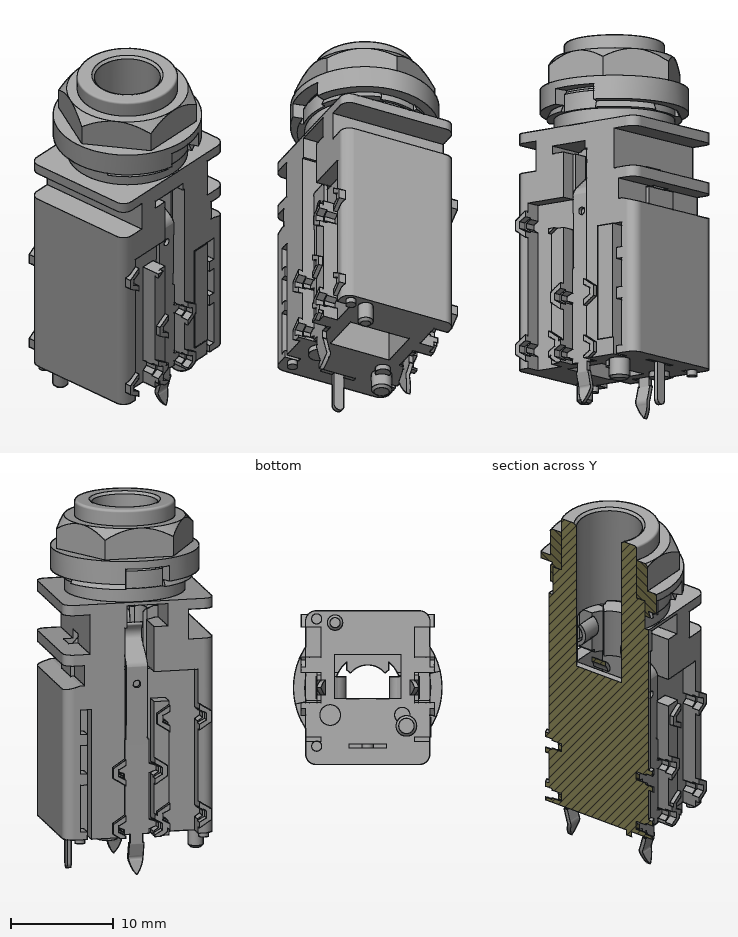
import cadquery as cq
import math


TOP_Z = 36.6
NUT_TOP_Z = 35.03
FLANGE_TOP_Z = 32.02
FLANGE_BOTTOM_Z = 29.72
TEETH_BOTTOM_Z = 29.05
BODY_TOP_Z = 27.67
BODY_BOTTOM_Z = 4.17

BODY_X = 12.1
BODY_Y = 15.0
HALF_X = BODY_X / 2
HALF_Y = BODY_Y / 2
CORNER_R = 1.02
TOP_PLATE_T = 1.02
NECK_Y = 4.95
FRONT_BLOCK_TOP_Z = 23.68
BACK_LIP_TOP_Z = 22.7
BACK_LIP_BOTTOM_Z = 21.6
BACK_SLOPE_Z = 19.58
BACK_SLOPE_DROP = 0.45

BUSHING_D = 9.8
COLLAR_D = 11.8
COLLAR_TOP_Z = 30.8
BORE_D = 6.45
BORE_R = BORE_D / 2
BORE_BOTTOM_Z = 20.6
RIM_CHAMFER = 0.25
SHELF_Y = 1.05

HEX_FLATS = 11.85
HEX_CORNERS = HEX_FLATS / math.cos(math.radians(30))
HEX_CHAMFER_DROP = 1.02
FLANGE_D = 14.5
TEETH_TOP_D = 12.55
TEETH_BOTTOM_D = 13.18
SLEEVE_R = 6.15
GAP_ANGLE = 36.0
GAP_START_ANGLE = -12.8
NOTCH_TOP_Z = 31.25

SHEET_T = 0.4
SIDE_INNER_X = 4.55
SIDE_MID_X = SIDE_INNER_X + SHEET_T / 2
UPPER_LEAN = 0.1
BEND_Z = 13.1
SPRING_HALF_W = 1.05
CONTACT_HALF_W = 1.25
SHOULDER_Z = 13.75
SPRING_ROOT_Z = 20.9
SPRING_BEND_MID = (4.7, 21.25)
SPRING_BEND_END = (4.4, 21.55)
SPRING_NOSE_START = (2.95, 22.7)
SPRING_NOSE_TIP = (2.3, 23.68)
SPRING_NOSE_END = (2.75, 24.67)
PIN_CREST_Z = 1.7
PIN_CREST_HALF = 0.3
PIN_FLANK_INSET = 0.33
PIN_BEND_Z = 3.2
PIN_HALF_W = 0.62
PIN_WIDE_HALF_W = 0.75
PIN_WIDE_TOP_Z = 3.3
PIN_TAPER_Z = 1.75
PIN_TIP_Z = 0.1
PIN_TIP_SIDE = (0.48, 0.85)
DIMPLE_D = 0.75
DIMPLE_Z = 19.2
BARB_TIP_Y = 1.95
BARB_BASE_HALF = 0.48
BARB_TIP_HALF = 0.22

SLOT_HALF_W = 1.45
SLOT_TOP_Z = 25.1
SLOT_FLOOR_TOP_Z = BORE_BOTTOM_Z
PASSAGE_BOTTOM_Z = 20.85
POCKET_NEAR_Y = -2.95
POCKET_FAR_Y = -5.9
LAND_TOP_Z = 17.6
WINDOW_BACK_Y = 1.25
WINDOW_FRONT_Y = -2.85
WINDOW_TOP_Z = 27.35
FAR_WINDOW_TOP_Z = 25.88

BOSS_OUT = 0.45
BOSS_ROOT = 0.35
BOSS_REACH = 1.25
BOSS_BASE_HALF = 1.3
BOSS_TIP_HALF = 0.5
LATCH_REACH = 0.75
LATCH_BASE_HALF = 0.75
LATCH_TIP_HALF = 0.33
LATCH_INNER_REACH = 0.5
LATCH_INNER_BASE_HALF = 0.6
LATCH_INNER_TIP_HALF = 0.25
CONTACT_LATCH_Z = (10.72, 5.12)
LEFT_POCKET_LATCH_Z = (15.92, 6.1)
RIGHT_POCKET_LATCH_Z = (18.45, 6.1)

BACK_INNER_Y = 5.5
BACK_OUTER_Y = BACK_INNER_Y + SHEET_T
BACK_MID_Y = BACK_INNER_Y + SHEET_T / 2
BACK_PLATE_HALF_W = 1.83
BACK_SPRING_HALF_W = 0.85
BACK_SPRING_ROOT_Z = 21.2
BACK_SPRING_CREST = (3.85, 23.25)
BACK_NOSE_START = (1.9, 22.15)
BACK_NOSE_MID = (1.45, 21.75)
BACK_NOSE_END = (1.25, 21.2)
BACK_PIN_HALF_W = 0.55
BACK_CHANNEL_TOP_Z = 23.6
BACK_CHANNEL_HALF_W = 1.05
BACK_PLATE_TOP_Z = 21.4
GROOVE_INNER_Y = 4.83
GROOVE_TOP_Z = 17.15
RIB_INNER_Y = 5.25
RIB_SPANS = ((13.6, 14.7), (9.63, 10.75), (BODY_BOTTOM_Z, 4.95))

ARC_INNER_R = 2.2
ARC_HALF_ANGLE = 50.0
ARC_HALF_W = 2.05
ARC_LIP_BEVEL = 0.25
ARC_FUNNEL_R = 3.1
ARC_FUNNEL_RISE = 0.35

SIDE_RIB_T = 0.1
SIDE_RIB_Y = (2.93, 5.12)
SIDE_RIB_Z = (5.85, 17.15)

PEG_BOTTOM_Z = 2.2
PAD_BOTTOM_Z = 3.62
PEGS = ((3.77, 3.75, 2.0), (-3.2, -6.35, 1.5))
PADS = ((-3.65, 2.67, 2.0), (3.35, 2.67, 1.5), (-4.98, 5.7, 1.0), (-4.98, -6.7, 1.0))

PAST = 0.35


def mirror(point, side):
    """(x, z) point on the right carried to the left when side is -1."""
    x, z = point
    return side * x, z


def box(x_span, y_span, z_span):
    """Box between two limits on each axis, given in either order."""
    spans = [sorted(span) for span in (x_span, y_span, z_span)]
    size = [high - low for low, high in spans]
    return cq.Workplane("XY").box(*size, centered=False).translate([low for low, _ in spans])


def cylinder(diameter, bottom_z, top_z, x=0.0, y=0.0):
    return cq.Workplane("XY", origin=(x, y, bottom_z)).circle(diameter / 2).extrude(top_z - bottom_z)


def prism_along_x(points, x_span):
    """Extrude a closed (y, z) outline between two X values."""
    low, high = sorted(x_span)
    return cq.Workplane("YZ", origin=(low, 0, 0)).polyline(points).close().extrude(high - low)


def sheet_profile(centre_line, half_width):
    """Bent strip: a centre line thickened to SHEET_T, extruded both ways by half_width."""
    return centre_line.offset2D(SHEET_T / 2, "arc").extrude(half_width, both=True)


def trapezoid(base_y, direction, centre_z, reach, base_half, tip_half):
    """(y, z) outline narrowing away from base_y in the given Y direction."""
    tip_y = base_y + direction * reach
    return [
        (base_y, centre_z - base_half),
        (tip_y, centre_z - tip_half),
        (tip_y, centre_z + tip_half),
        (base_y, centre_z + base_half),
    ]


def latch_places(side):
    """Base y, direction and centre z of every latch on one side."""
    contact = [(way * SLOT_HALF_W, way, z) for z in CONTACT_LATCH_Z for way in (1, -1)]
    heights = LEFT_POCKET_LATCH_Z if side < 0 else RIGHT_POCKET_LATCH_Z
    near = [(POCKET_NEAR_Y, 1, z) for z in heights]
    far = [(POCKET_FAR_Y, -1, z) for z in heights]
    return contact + near + far



def housing_block():
    """Rounded block with the neck, the back lip and the sloped shoulder cut out."""
    height = BODY_TOP_Z - BODY_BOTTOM_Z
    block = cq.Workplane("XY", origin=(0, 0, BODY_BOTTOM_Z)).rect(BODY_X, BODY_Y).extrude(height)
    block = block.edges("|Z").fillet(CORNER_R)
    plate_bottom_z = BODY_TOP_Z - TOP_PLATE_T
    across = (-HALF_X - PAST, HALF_X + PAST)
    block = block.cut(box(across, (-HALF_Y - PAST, -NECK_Y), (FRONT_BLOCK_TOP_Z, plate_bottom_z)))
    block = block.cut(box(across, (NECK_Y, HALF_Y + PAST), (BACK_LIP_TOP_Z, plate_bottom_z)))
    slope_cut = [
        (BACK_INNER_Y, BACK_LIP_BOTTOM_Z),
        (HALF_Y, BACK_LIP_BOTTOM_Z),
        (HALF_Y, BACK_SLOPE_Z - BACK_SLOPE_DROP),
        (BACK_OUTER_Y, BACK_SLOPE_Z),
        (BACK_INNER_Y, BACK_SLOPE_Z),
    ]
    return block.cut(prism_along_x(slope_cut, across))


def bushing():
    """Collar under the nut and the tube that passes through it."""
    collar = cylinder(COLLAR_D, BODY_TOP_Z, COLLAR_TOP_Z)
    tube = cylinder(BUSHING_D, BODY_TOP_Z, TOP_Z).faces(">Z").edges().fillet(RIM_CHAMFER)
    return collar.union(tube)


def bore():
    """Plug bore with a flared mouth, and the open cavity below it."""
    hole = cylinder(BORE_D, BORE_BOTTOM_Z, TOP_Z)
    mouth_r = BORE_R + RIM_CHAMFER
    mouth = cq.Workplane("XZ").polyline(
        [(0, TOP_Z), (mouth_r, TOP_Z), (BORE_R, TOP_Z - RIM_CHAMFER), (0, TOP_Z - RIM_CHAMFER)]
    ).close().revolve(360, (0, 0, 0), (0, 1, 0))
    cavity = box((-BORE_R, BORE_R), (-BORE_R, SHELF_Y), (BODY_BOTTOM_Z - PAST, BORE_BOTTOM_Z))
    return hole.union(mouth).union(cavity)


def guide_arc():
    """Raised arc on the front of the bore, with a bevelled lip and a funnel above it."""
    lip_z = FAR_WINDOW_TOP_Z
    funnel_z = lip_z + ARC_FUNNEL_RISE
    root_r = BORE_R + PAST
    profile = [
        (ARC_INNER_R, BORE_BOTTOM_Z),
        (root_r, BORE_BOTTOM_Z),
        (root_r, funnel_z),
        (ARC_FUNNEL_R, funnel_z),
        (ARC_INNER_R + ARC_LIP_BEVEL, lip_z),
        (ARC_INNER_R, lip_z - ARC_LIP_BEVEL),
    ]
    arc = cq.Workplane("XZ").polyline(profile).close()
    arc = arc.revolve(2 * ARC_HALF_ANGLE, (0, 0, 0), (0, 1, 0))
    arc = arc.rotate((0, 0, 0), (0, 0, 1), -90 - ARC_HALF_ANGLE)
    return arc.intersect(box((-ARC_HALF_W, ARC_HALF_W), (-HALF_Y, 0), (0, TOP_Z)))


def side_openings(side):
    """Contact slot, empty pocket, window and stepped latch notches on one side (-1 left, 1 right)."""
    floor_x = side * SIDE_INNER_X
    outside_x = side * (HALF_X + BOSS_OUT + PAST)
    deep = (floor_x, outside_x)
    slot_y = (-SLOT_HALF_W, SLOT_HALF_W)
    low_z = BODY_BOTTOM_Z - PAST

    cuts = box(deep, slot_y, (low_z, SLOT_TOP_Z))
    cuts = cuts.union(box(deep, (POCKET_NEAR_Y, POCKET_FAR_Y), (low_z, SLOT_FLOOR_TOP_Z)))
    cuts = cuts.union(box(deep, (-SLOT_HALF_W, POCKET_FAR_Y), (LAND_TOP_Z, SLOT_FLOOR_TOP_Z)))
    passage_half = SLOT_HALF_W if side < 0 else SPRING_HALF_W + RIM_CHAMFER / 2
    inward = (0, floor_x)
    cuts = cuts.union(box(inward, (-passage_half, passage_half), (PASSAGE_BOTTOM_Z, SLOT_TOP_Z)))
    cuts = cuts.union(box(inward, slot_y, (SLOT_FLOOR_TOP_Z, PASSAGE_BOTTOM_Z)))
    window_top_z = WINDOW_TOP_Z if side < 0 else FAR_WINDOW_TOP_Z
    window_y = (WINDOW_FRONT_Y, WINDOW_BACK_Y)
    cuts = cuts.union(box((0, outside_x), window_y, (SLOT_TOP_Z, window_top_z)))
    for base_y, way, z in latch_places(side):
        outline = trapezoid(base_y, way, z, LATCH_REACH, LATCH_BASE_HALF, LATCH_TIP_HALF)
        cuts = cuts.union(prism_along_x(outline, (side * (HALF_X - BOSS_ROOT), outside_x)))
        outline = trapezoid(
            base_y, way, z, LATCH_INNER_REACH, LATCH_INNER_BASE_HALF, LATCH_INNER_TIP_HALF
        )
        cuts = cuts.union(prism_along_x(outline, deep))
    return cuts


def add_side_bosses(body, side):
    x_span = (side * (HALF_X - BOSS_ROOT), side * (HALF_X + BOSS_OUT))
    for base_y, way, z in latch_places(side):
        outline = trapezoid(base_y, way, z, BOSS_REACH, BOSS_BASE_HALF, BOSS_TIP_HALF)
        body = body.union(prism_along_x(outline, x_span))
    below = box((-BODY_X, BODY_X), (-BODY_Y, BODY_Y), (0, BODY_BOTTOM_Z))
    return body.cut(below)


def back_openings():
    """Slot for the back contact and the channel for its spring."""
    slot_x = (-BACK_PLATE_HALF_W, BACK_PLATE_HALF_W)
    slot = box(slot_x, (BACK_INNER_Y, BACK_OUTER_Y), (BODY_BOTTOM_Z - PAST, BACK_LIP_BOTTOM_Z))
    channel_x = (-BACK_CHANNEL_HALF_W, BACK_CHANNEL_HALF_W)
    channel = box(channel_x, (SHELF_Y, BACK_OUTER_Y), (BORE_BOTTOM_Z, BACK_CHANNEL_TOP_Z))
    return slot.union(channel)


def back_groove(side):
    """Side groove near the back, bridged by three short ribs."""
    x_span = (side * SIDE_INNER_X, side * (HALF_X + PAST))
    groove = box(x_span, (GROOVE_INNER_Y, BACK_OUTER_Y), (BODY_BOTTOM_Z - PAST, GROOVE_TOP_Z))
    for span in RIB_SPANS:
        groove = groove.cut(box(x_span, (RIB_INNER_Y, BACK_OUTER_Y), span))
    return groove


def feet():
    """Locating pegs and low pads under the housing."""
    parts = []
    for x, y, diameter in PEGS:
        peg = cylinder(diameter, PEG_BOTTOM_Z, BODY_BOTTOM_Z, x, y)
        parts.append(peg.faces("<Z").chamfer(RIM_CHAMFER))
    for x, y, diameter in PADS:
        parts.append(cylinder(diameter, PAD_BOTTOM_Z, BODY_BOTTOM_Z, x, y))
    return parts


def make_housing():
    body = housing_block().union(bushing())
    for side in (-1, 1):
        body = add_side_bosses(body, side)
    body = body.union(box((HALF_X - BOSS_ROOT, HALF_X + SIDE_RIB_T), SIDE_RIB_Y, SIDE_RIB_Z))
    body = body.cut(bore())
    for side in (-1, 1):
        body = body.cut(side_openings(side)).cut(back_groove(side))
    body = body.cut(back_openings()).union(guide_arc())
    for foot in feet():
        body = body.union(foot)
    return body



def nut_gap(top_z):
    """Sector cut outside the nut's inner sleeve, reaching up to top_z from the teeth."""
    outline = [(SLEEVE_R, TEETH_BOTTOM_Z), (FLANGE_D, TEETH_BOTTOM_Z), (FLANGE_D, top_z)]
    if top_z > COLLAR_TOP_Z:
        collar_r = COLLAR_D / 2
        outline += [(collar_r, top_z), (collar_r, COLLAR_TOP_Z + RIM_CHAMFER), (SLEEVE_R, COLLAR_TOP_Z)]
    else:
        outline.append((SLEEVE_R, top_z))
    gap = cq.Workplane("XZ").polyline(outline).close()
    return gap.revolve(GAP_ANGLE, (0, 0, 0), (0, 1, 0))


def make_nut():
    """Hex nut with a round flange and a ring of flared lock teeth below it."""
    hexagon = cq.Workplane("XY", origin=(0, 0, FLANGE_TOP_Z)).polygon(6, HEX_CORNERS)
    hexagon = hexagon.extrude(NUT_TOP_Z - FLANGE_TOP_Z).rotate((0, 0, 0), (0, 0, 1), 30)
    cone_slope = (HEX_CORNERS - HEX_FLATS) / 2 / HEX_CHAMFER_DROP
    cone_foot_r = HEX_FLATS / 2 + cone_slope * (NUT_TOP_Z - FLANGE_TOP_Z)
    cone = cq.Workplane("XZ").polyline([
        (0, FLANGE_TOP_Z),
        (cone_foot_r, FLANGE_TOP_Z),
        (HEX_FLATS / 2, NUT_TOP_Z),
        (0, NUT_TOP_Z),
    ]).close().revolve(360, (0, 0, 0), (0, 1, 0))
    flange = cylinder(FLANGE_D, FLANGE_BOTTOM_Z, FLANGE_TOP_Z)
    teeth = cq.Workplane("XZ").polyline([
        (0, TEETH_BOTTOM_Z),
        (TEETH_BOTTOM_D / 2, TEETH_BOTTOM_Z),
        (TEETH_TOP_D / 2, FLANGE_BOTTOM_Z),
        (0, FLANGE_BOTTOM_Z),
    ]).close().revolve(360, (0, 0, 0), (0, 1, 0))
    body = hexagon.intersect(cone).union(flange).union(teeth).cut(bushing())
    for quarter in range(4):
        top_z = NOTCH_TOP_Z if quarter % 2 == 0 else FLANGE_BOTTOM_Z
        body = body.cut(nut_gap(top_z).rotate((0, 0, 0), (0, 0, 1), 90 * quarter + GAP_START_ANGLE))
    return body



def side_contact_outline():
    """Flat shape of a side contact in (y, z): spring strip, barbed plate and pin."""
    half = [
        (SPRING_HALF_W, SLOT_TOP_Z),
        (SPRING_HALF_W, SHOULDER_Z),
        (CONTACT_HALF_W, SHOULDER_Z - (CONTACT_HALF_W - SPRING_HALF_W)),
    ]
    for z in CONTACT_LATCH_Z:
        barb = trapezoid(CONTACT_HALF_W, 1, z, BARB_TIP_Y - CONTACT_HALF_W, BARB_BASE_HALF, BARB_TIP_HALF)
        half += reversed(barb)
    half += [
        (CONTACT_HALF_W, BODY_BOTTOM_Z),
        (PIN_HALF_W, BODY_BOTTOM_Z),
        (PIN_HALF_W, PIN_WIDE_TOP_Z),
        (PIN_WIDE_HALF_W, PIN_WIDE_TOP_Z),
        (PIN_WIDE_HALF_W, PIN_TAPER_Z),
    ]
    mirrored = [(-y, z) for y, z in reversed(half)]
    tip_y, tip_z = PIN_TIP_SIDE
    return (
        cq.Workplane("YZ", origin=(-BODY_X, 0, 0))
        .polyline(half)
        .threePointArc(PIN_TIP_SIDE, (0, PIN_TIP_Z))
        .threePointArc((-tip_y, tip_z), mirrored[0])
        .polyline(mirrored[1:], includeCurrent=True)
        .close()
        .extrude(2 * BODY_X)
    )


def make_side_contact(side):
    """Bent strip trimmed to the flat outline, on the left (-1) or the right (1)."""
    upper_x = SIDE_MID_X + UPPER_LEAN
    flank_x = SIDE_MID_X - PIN_FLANK_INSET
    crest_x = SIDE_MID_X - SHEET_T
    centre_line = (
        cq.Workplane("XZ")
        .moveTo(side * SIDE_MID_X, SHEET_T / 2)
        .lineTo(side * flank_x, PIN_CREST_Z - PIN_CREST_HALF)
        .threePointArc((side * crest_x, PIN_CREST_Z), (side * flank_x, PIN_CREST_Z + PIN_CREST_HALF))
        .lineTo(side * SIDE_MID_X, PIN_BEND_Z)
        .lineTo(side * SIDE_MID_X, BEND_Z)
        .lineTo(side * upper_x, SPRING_ROOT_Z)
        .threePointArc(mirror(SPRING_BEND_MID, side), mirror(SPRING_BEND_END, side))
        .lineTo(*mirror(SPRING_NOSE_START, side))
        .threePointArc(mirror(SPRING_NOSE_TIP, side), mirror(SPRING_NOSE_END, side))
    )
    strip = sheet_profile(centre_line, HALF_Y)
    dimple = cq.Workplane("YZ", origin=(-BODY_X, 0, DIMPLE_Z)).circle(DIMPLE_D / 2).extrude(2 * BODY_X)
    return strip.intersect(side_contact_outline()).cut(dimple)



def make_back_contact():
    """Upright plate with a round-ended pin below and a spring leaning into the bore."""
    x_span = (-BACK_PLATE_HALF_W, BACK_PLATE_HALF_W)
    y_span = (BACK_INNER_Y, BACK_OUTER_Y)
    plate = box(x_span, y_span, (BODY_BOTTOM_Z, BACK_PLATE_TOP_Z))
    pin = box((-BACK_PIN_HALF_W, BACK_PIN_HALF_W), y_span, (BACK_PIN_HALF_W, BODY_BOTTOM_Z))
    tip = cq.Workplane("XZ", origin=(0, BACK_OUTER_Y, BACK_PIN_HALF_W))
    tip = tip.circle(BACK_PIN_HALF_W).extrude(SHEET_T)
    spring_line = (
        cq.Workplane("YZ")
        .moveTo(BACK_MID_Y, BACK_SPRING_ROOT_Z)
        .lineTo(*BACK_SPRING_CREST)
        .lineTo(*BACK_NOSE_START)
        .threePointArc(BACK_NOSE_MID, BACK_NOSE_END)
    )
    spring = sheet_profile(spring_line, BACK_SPRING_HALF_W)
    return plate.union(pin).union(tip).union(spring)


housing = make_housing()
nut = make_nut()
side_contacts = [make_side_contact(side) for side in (-1, 1)]
back_contact = make_back_contact()

bodies = [housing, nut, *side_contacts, back_contact]
result = cq.Compound.makeCompound([body.solids().val() for body in bodies])